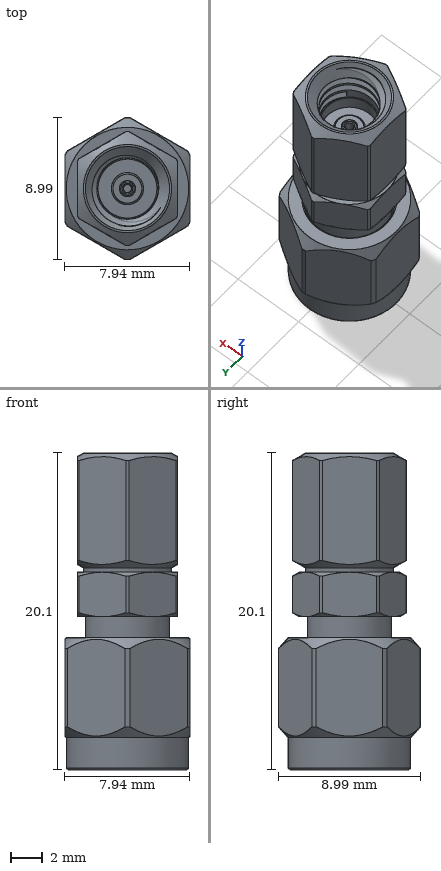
import cadquery as cq
import math

TOTAL_HEIGHT = 20.07
RING_HEIGHT = 2.05
LARGE_NUT_TOP = 8.38
SMALL_NUT_BOTTOM = 9.71
SMALL_NUT_TOP = 12.53
TOP_NUT_BOTTOM = 12.80

RING_DIAMETER = 7.76
RING_CHAMFER = 0.13
LOWER_NECK_DIAMETER = 5.33
UPPER_NECK_DIAMETER = 5.59

HEX_TURN = 30
LARGE_FLATS = 7.94
LARGE_CORNERS = 8.99
LARGE_FACE_DIAMETER = 7.76
LARGE_BORE_DIAMETER = 5.84
LARGE_BORE_DEPTH = 3.0
LARGE_BORE_CHAMFER = 0.1
LARGE_CHAMFER_ANGLE = 48
SMALL_FLATS = 6.35
SMALL_CORNERS = 7.22
SMALL_CHAMFER_ANGLE = 30

MOUTH_DIAMETER = 5.33
MAJOR_DIAMETER = 4.83
MINOR_DIAMETER = 3.89
PITCH = 25.4 / 32
FLANK_HALF_ANGLE = 30
ROOT_WIDTH = PITCH / 16
GROOVE_OVERLAP = 0.05
GROOVE_RUN_IN = 0.1
THREAD_BORE_DEPTH = 2.94
GROOVE_END_DEPTH = 2.64
GROOVE_END_ANGLE = -45
SOCKET_DIAMETER = 3.73
SOCKET_DEPTH = 4.0

BOSS_DIAMETER = 2.03
BOSS_HEIGHT = 0.5
BOSS_CHAMFER = 0.1
CONTACT_DIAMETER = 1.02
CONTACT_PROJECTION = 0.2
CONTACT_CHAMFER = 0.08
CONTACT_HOLE_DIAMETER = 0.51
CONTACT_HOLE_DEPTH = 1.0
CONTACT_COUNTERSINK = 0.08

SOCKET_FLOOR = TOTAL_HEIGHT - SOCKET_DEPTH
BOSS_TOP = SOCKET_FLOOR + BOSS_HEIGHT
CONTACT_TOP = BOSS_TOP + CONTACT_PROJECTION


def cylinder(diameter, bottom, top):
    return cq.Workplane("XY").workplane(offset=bottom).circle(diameter / 2).extrude(top - bottom)


def hex_nut(flats, corners, face_diameter, chamfer_angle, bottom, top):
    """Hexagon with conical chamfers at both ends and trimmed corners."""
    hexagon = (
        cq.Workplane("XY")
        .workplane(offset=bottom)
        .polygon(6, flats / math.cos(math.radians(HEX_TURN)))
        .extrude(top - bottom)
        .rotate((0, 0, 0), (0, 0, 1), HEX_TURN)
    )
    face_radius = face_diameter / 2
    corner_radius = corners / 2
    chamfer_height = (corner_radius - face_radius) * math.tan(math.radians(chamfer_angle))
    envelope = (
        cq.Workplane("XZ")
        .moveTo(0, bottom)
        .lineTo(face_radius, bottom)
        .lineTo(corner_radius, bottom + chamfer_height)
        .lineTo(corner_radius, top - chamfer_height)
        .lineTo(face_radius, top)
        .lineTo(0, top)
        .close()
        .revolve(360, (0, 0, 0), (0, 1, 0))
    )
    return hexagon.intersect(envelope)


def outer_body():
    ring = cylinder(RING_DIAMETER, 0, RING_HEIGHT).faces("<Z").chamfer(RING_CHAMFER)
    large_nut = hex_nut(
        LARGE_FLATS, LARGE_CORNERS, LARGE_FACE_DIAMETER, LARGE_CHAMFER_ANGLE, RING_HEIGHT, LARGE_NUT_TOP
    )
    bore_floor = LARGE_NUT_TOP - LARGE_BORE_DEPTH
    large_nut = (
        large_nut.cut(cylinder(LARGE_BORE_DIAMETER, bore_floor, LARGE_NUT_TOP))
        .faces(">Z")
        .edges(cq.selectors.RadiusNthSelector(0))
        .chamfer(LARGE_BORE_CHAMFER)
    )
    lower_neck = cylinder(LOWER_NECK_DIAMETER, bore_floor, SMALL_NUT_BOTTOM)
    small_nut = hex_nut(
        SMALL_FLATS, SMALL_CORNERS, SMALL_FLATS, SMALL_CHAMFER_ANGLE, SMALL_NUT_BOTTOM, SMALL_NUT_TOP
    )
    upper_neck = cylinder(UPPER_NECK_DIAMETER, SMALL_NUT_TOP, TOP_NUT_BOTTOM)
    top_nut = hex_nut(
        SMALL_FLATS, SMALL_CORNERS, UPPER_NECK_DIAMETER, SMALL_CHAMFER_ANGLE, TOP_NUT_BOTTOM, TOTAL_HEIGHT
    )
    return ring.union(large_nut).union(lower_neck).union(small_nut).union(upper_neck).union(top_nut)


def socket_cavity():
    """Conical mouth, thread bore and plain bore below it."""
    mouth_radius = MOUTH_DIAMETER / 2
    minor_radius = MINOR_DIAMETER / 2
    socket_radius = SOCKET_DIAMETER / 2
    cone_end = TOTAL_HEIGHT - (mouth_radius - minor_radius)
    thread_end = TOTAL_HEIGHT - THREAD_BORE_DEPTH
    return (
        cq.Workplane("XZ")
        .moveTo(0, SOCKET_FLOOR)
        .lineTo(socket_radius, SOCKET_FLOOR)
        .lineTo(socket_radius, thread_end)
        .lineTo(minor_radius, thread_end)
        .lineTo(minor_radius, cone_end)
        .lineTo(mouth_radius, TOTAL_HEIGHT)
        .lineTo(0, TOTAL_HEIGHT)
        .close()
        .revolve(360, (0, 0, 0), (0, 1, 0))
    )


def thread_groove():
    """Right-hand helical V groove, from the plain bore up past the conical mouth."""
    start = TOTAL_HEIGHT - GROOVE_END_DEPTH
    root_radius = MAJOR_DIAMETER / 2
    inner_radius = MINOR_DIAMETER / 2 - GROOVE_OVERLAP
    root_half = ROOT_WIDTH / 2
    inner_half = root_half + (root_radius - inner_radius) * math.tan(math.radians(FLANK_HALF_ANGLE))
    helix = cq.Wire.makeHelix(PITCH, GROOVE_END_DEPTH + GROOVE_RUN_IN, root_radius, cq.Vector(0, 0, start))
    groove = (
        cq.Workplane("XZ")
        .moveTo(inner_radius, start - inner_half)
        .lineTo(root_radius, start - root_half)
        .lineTo(root_radius, start + root_half)
        .lineTo(inner_radius, start + inner_half)
        .close()
        .sweep(cq.Workplane(helix), isFrenet=True)
    )
    return groove.rotate((0, 0, 0), (0, 0, 1), GROOVE_END_ANGLE)


def insulator_boss():
    """Chamfered boss on the socket floor, with the centre contact standing on it."""
    boss = cylinder(BOSS_DIAMETER, SOCKET_FLOOR, BOSS_TOP).faces(">Z").chamfer(BOSS_CHAMFER)
    contact = cylinder(CONTACT_DIAMETER, BOSS_TOP, CONTACT_TOP).faces(">Z").chamfer(CONTACT_CHAMFER)
    return boss.union(contact)


def contact_hole():
    """Blind centre hole with a 45 degree countersink."""
    hole_radius = CONTACT_HOLE_DIAMETER / 2
    bottom = CONTACT_TOP - CONTACT_HOLE_DEPTH
    return (
        cq.Workplane("XZ")
        .moveTo(0, bottom)
        .lineTo(hole_radius, bottom)
        .lineTo(hole_radius, CONTACT_TOP - CONTACT_COUNTERSINK)
        .lineTo(hole_radius + CONTACT_COUNTERSINK, CONTACT_TOP)
        .lineTo(0, CONTACT_TOP)
        .close()
        .revolve(360, (0, 0, 0), (0, 1, 0))
    )


body = outer_body().cut(socket_cavity()).cut(thread_groove())
result = body.union(insulator_boss()).cut(contact_hole())